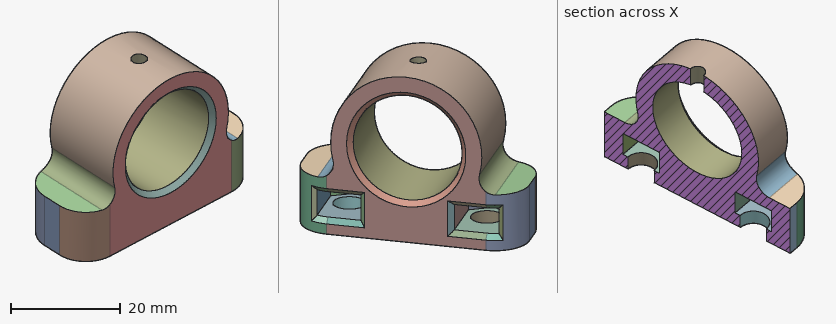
import cadquery as cq
import math

width = 17.0
length = 43.0
base_height = 11.0
corner_radius = 6.5

overall_height = 32.5
bore_diameter = 20.5
ring_wall = 4.0
ring_radius = bore_diameter / 2 + ring_wall
axis_height = overall_height - ring_radius
bore_chamfer = 1.0
oil_hole_diameter = 3.0

neck_radius = 3.0

nut_flats = 8.35
nut_spacing = 25.97
pocket_floor = 3.0
pocket_height = 5.0
pocket_chamfer = 1.0
bolt_hole_diameter = 6.0


def make_base(height):
    block = cq.Workplane("XY").box(width, length, height, centered=(True, True, False))
    return block.edges("|Z").fillet(corner_radius)


def make_ring_and_neck():
    """Ring profile blended into the base top by two tangent arcs."""
    neck_center_z = base_height + neck_radius
    neck_rise = neck_center_z - axis_height
    neck_center_y = math.sqrt((ring_radius + neck_radius) ** 2 - neck_rise**2)
    ring_share = ring_radius / (ring_radius + neck_radius)
    ring_tangent_y = neck_center_y * ring_share
    ring_tangent_z = axis_height + neck_rise * ring_share

    tangent_angle = math.atan2(-neck_rise, neck_center_y)
    middle_angle = (tangent_angle + math.pi / 2) / 2
    neck_middle_y = neck_center_y - neck_radius * math.cos(middle_angle)
    neck_middle_z = neck_center_z - neck_radius * math.sin(middle_angle)

    return (
        cq.Workplane("YZ")
        .moveTo(-neck_center_y, 0)
        .lineTo(neck_center_y, 0)
        .lineTo(neck_center_y, base_height)
        .threePointArc((neck_middle_y, neck_middle_z), (ring_tangent_y, ring_tangent_z))
        .threePointArc((0, overall_height), (-ring_tangent_y, ring_tangent_z))
        .threePointArc((-neck_middle_y, neck_middle_z), (-neck_center_y, base_height))
        .close()
        .extrude(width / 2, both=True)
    )


def make_bore():
    half_width = width / 2
    bore_radius = bore_diameter / 2
    mouth_radius = bore_radius + bore_chamfer
    return (
        cq.Workplane("XY")
        .moveTo(-half_width, 0)
        .lineTo(-half_width, mouth_radius)
        .lineTo(-half_width + bore_chamfer, bore_radius)
        .lineTo(half_width - bore_chamfer, bore_radius)
        .lineTo(half_width, mouth_radius)
        .lineTo(half_width, 0)
        .close()
        .revolve(360, (0, 0), (1, 0))
        .translate((0, 0, axis_height))
    )


def make_nut_pocket(y):
    """Slot running from the -X face to a V-shaped end that fits a hexagonal nut."""
    half_flats = nut_flats / 2
    nut_corner = nut_flats / math.sqrt(3)
    return (
        cq.Workplane("XY", origin=(0, y, pocket_floor))
        .moveTo(-width / 2, -half_flats)
        .lineTo(nut_corner / 2, -half_flats)
        .lineTo(nut_corner, 0)
        .lineTo(nut_corner / 2, half_flats)
        .lineTo(-width / 2, half_flats)
        .close()
        .extrude(pocket_height)
    )


def chamfer_pocket_mouth(body, y):
    """Bevel the pocket mouth, including where it crosses the rounded corner."""
    mouth = cq.selectors.BoxSelector(
        (-width / 2 - 0.45, y - nut_flats / 2 - 0.45, pocket_floor - 0.45),
        (-width / 2 + corner_radius / 2, y + nut_flats / 2 + 0.45, pocket_floor + pocket_height + 0.45),
        boundingbox=True,
    )
    return body.edges(mouth).chamfer(pocket_chamfer)


def make_bolt_hole(y):
    """Plain hole from the underside up through the pocket floor."""
    return cq.Workplane("XY").center(0, y).circle(bolt_hole_diameter / 2).extrude(pocket_floor)


footprint = make_base(overall_height)
body = make_base(base_height).union(make_ring_and_neck().intersect(footprint))
for side in (-1, 1):
    nut_y = side * nut_spacing / 2
    body = body.cut(make_nut_pocket(nut_y))
    body = chamfer_pocket_mouth(body, nut_y)
    body = body.cut(make_bolt_hole(nut_y))

body = body.cut(make_bore())
oil_hole = cq.Workplane("XY", origin=(0, 0, axis_height)).circle(oil_hole_diameter / 2)
result = body.cut(oil_hole.extrude(ring_radius))